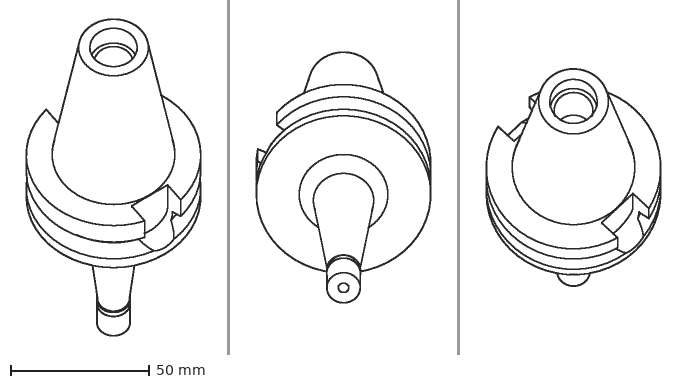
import cadquery as cq


taper_length = 65.5
taper_top_radius = 12.6
gauge_radius = 22.2

flange_radius = 31.5
flange_top = -1.0
flange_bottom = -27.1
groove_floor_radius = 26.5
groove_top = -11.2
groove_floor_top = -14.3
groove_floor_bottom = -18.5
groove_bottom = -21.6

keyway_width = 16.0
keyway_floor_distance = 22.3
keyway_bottom = -23.0

collar_height = 5.1
nose_top_radius = 10.9
nose_tip_radius = 5.8
collar_radius = nose_top_radius + collar_height
collar_bottom = flange_bottom - collar_height

overall_length = 170.4
joint_height = -90.0
head_radius = 6.1
head_chamfer = head_radius - nose_tip_radius
head_band_bottom = -92.9
head_relief = 0.09
head_bottom = taper_length - overall_length

entry_radius = 8.5
entry_depth = 9.2
thread_radius = 7.0
thread_depth = 32.0
coolant_radius = 2.9
head_hole_radius = 1.9


def cylinder(radius, bottom, top):
    """Cylinder on the Z axis between two heights."""
    return cq.Workplane("XY").workplane(offset=bottom).circle(radius).extrude(top - bottom)


def turned_blank():
    """Outer shape of the holder, revolved about the Z axis."""
    profile = [
        (0, taper_length),
        (taper_top_radius, taper_length),
        (gauge_radius, 0),
        (gauge_radius, flange_top),
        (flange_radius, flange_top),
        (flange_radius, groove_top),
        (groove_floor_radius, groove_floor_top),
        (groove_floor_radius, groove_floor_bottom),
        (flange_radius, groove_bottom),
        (flange_radius, flange_bottom),
        (collar_radius, flange_bottom),
        (nose_top_radius, collar_bottom),
        (nose_tip_radius, joint_height),
        (0, joint_height),
    ]
    return cq.Workplane("XZ").polyline(profile).close().revolve(360, (0, 0, 0), (0, 1, 0))


def keyway_cutter(side):
    """Round-bottomed slot, open at the top and outwards; side is +1 or -1 along X."""
    half_width = keyway_width / 2
    arc_height = keyway_bottom + half_width
    slot_depth = flange_radius - keyway_floor_distance
    return (
        cq.Workplane("YZ")
        .workplane(offset=side * keyway_floor_distance)
        .moveTo(-half_width, 0)
        .lineTo(-half_width, arc_height)
        .threePointArc((0, keyway_bottom), (half_width, arc_height))
        .lineTo(half_width, 0)
        .close()
        .extrude(side * slot_depth)
    )


def make_holder():
    """Tool holder with keyways and a stepped axial bore."""
    holder = turned_blank()
    for side in (-1, 1):
        holder = holder.cut(keyway_cutter(side))
    holder = holder.cut(cylinder(entry_radius, taper_length - entry_depth, taper_length))
    holder = holder.cut(cylinder(thread_radius, taper_length - thread_depth, taper_length))
    return holder.cut(cylinder(coolant_radius, joint_height, taper_length))


def make_cutter_head():
    """Head with a chamfered band above a slightly relieved body, and a coolant hole through it."""
    band = cylinder(head_radius, head_band_bottom, joint_height).faces(">Z").chamfer(head_chamfer)
    body = cylinder(head_radius - head_relief, head_bottom, head_band_bottom)
    head = band.union(body)
    return head.cut(cylinder(head_hole_radius, head_bottom, joint_height))


holder = make_holder()
cutter_head = make_cutter_head()

result = cq.Compound.makeCompound([holder.val(), cutter_head.val()])